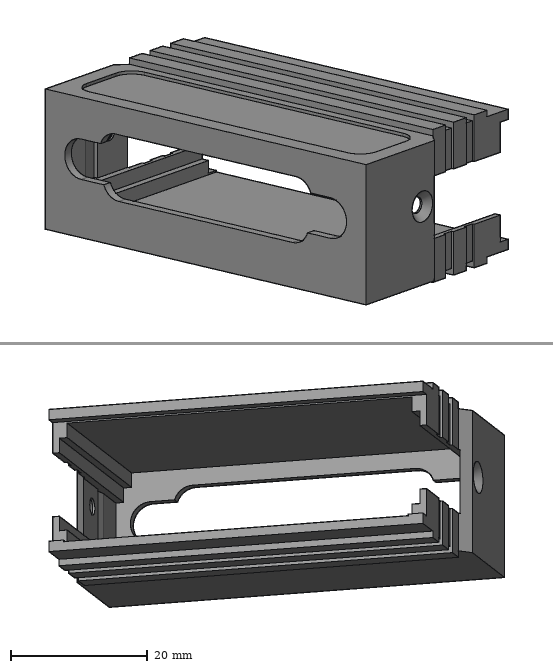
import cadquery as cq
import math

length = 60.7
depth = 34.95
height = 23.45

block_depth = 17.5
rib_height = 1.0
block_height = height - 2 * rib_height
block_chamfer = 1.65

plate_length = length - 2 * block_chamfer
rib_width = 3.0
rib_gap = 1.8
rib_count = 3
side_groove_depth = 0.35
tongue_length = 1.8
tongue_thickness = 1.6

cavity_center_z = -0.25
front_wall = 1.5
cavity_width = 57.8
guide_gap = 9.6
step_rise = 2.2
step_width = 1.2
guide_steps = 2

catch_start = 7.5
catch_length = 2.8
catch_depth = 0.6

opening_z = 1.3
slot_length = 53.3
slot_height = 6.2
window_height = 10.2
window_radius = 3.0
window_top_flat = 34.1
window_bottom_flat = 32.9

screw_y = 13.05
screw_diameter = 2.5
screw_head_diameter = 4.75

label_margin = 3.0
label_width = 12.8
label_radius = 3.0
label_depth = 0.5


def box(x_size, y_start, y_end, z_start, z_end):
    """Box centred on X between the given Y and Z limits; Y = 0 is the front face."""
    return (
        cq.Workplane("XY", origin=(0, 0, z_start))
        .center(0, (y_start + y_end) / 2)
        .rect(x_size, y_end - y_start)
        .extrude(z_end - z_start)
    )


def make_body():
    half_block = block_height / 2
    body = box(length, 0, block_depth, -half_block, half_block)
    body = body.edges("|Z and >Y").chamfer(block_chamfer)
    body = body.union(box(plate_length, block_depth, depth, -half_block, half_block))
    for i in range(rib_count):
        rib_start = block_depth + i * (rib_width + rib_gap)
        rib_end = rib_start + rib_width
        body = body.union(box(plate_length, rib_start, rib_end, -height / 2, height / 2))
    for i in range(rib_count - 1):
        groove_start = block_depth + rib_width + i * (rib_width + rib_gap)
        groove = box(length, groove_start, groove_start + rib_gap, -height / 2, height / 2)
        core_width = plate_length - 2 * side_groove_depth
        core = box(core_width, groove_start, groove_start + rib_gap, -height / 2, height / 2)
        body = body.cut(groove.cut(core))
    return body


def make_cavity():
    """Wide central gap with narrower steps cut deeper into the plates above and below."""
    cavity = None
    for i in range(guide_steps + 1):
        width = cavity_width - 2 * i * step_width
        half_gap = guide_gap / 2 + i * step_rise
        layer = box(width, front_wall, depth, cavity_center_z - half_gap, cavity_center_z + half_gap)
        cavity = layer if cavity is None else cavity.union(layer)
    return cavity


def make_tongue_gap():
    half_gap = block_height / 2 - tongue_thickness
    return box(length, depth - tongue_length, depth, -half_gap, half_gap)


def make_catches():
    wall_x = cavity_width / 2
    catch_end = catch_start + catch_length
    catch = (
        cq.Workplane("XY", origin=(0, 0, cavity_center_z - guide_gap / 2))
        .polyline([(wall_x, catch_start), (wall_x + catch_depth, catch_end), (wall_x, catch_end)])
        .close()
        .extrude(guide_gap)
    )
    return catch.union(catch.mirror("YZ"))


def make_front_opening():
    """Slot with round ends, joined by a window whose corner arcs meet the slot edges sharply."""
    half_slot = slot_height / 2
    half_window = window_height / 2
    arc_height = half_window - window_radius
    slot_end_x = slot_length / 2 - half_slot
    arc_span_x = math.sqrt(window_radius**2 - (half_slot - arc_height) ** 2)
    arc_mid = window_radius * math.sqrt(0.5)

    top_x = window_top_flat / 2
    bottom_x = window_bottom_flat / 2
    outline = (
        cq.Workplane("XZ", origin=(0, 0, opening_z))
        .moveTo(0, half_window)
        .lineTo(top_x, half_window)
        .threePointArc((top_x + arc_mid, arc_height + arc_mid), (top_x + arc_span_x, half_slot))
        .lineTo(slot_end_x, half_slot)
        .threePointArc((slot_length / 2, 0), (slot_end_x, -half_slot))
        .lineTo(bottom_x + arc_span_x, -half_slot)
        .threePointArc((bottom_x + arc_mid, -arc_height - arc_mid), (bottom_x, -half_window))
        .lineTo(0, -half_window)
        .mirrorY()
    )
    return outline.extrude(-front_wall)


def make_screw_holes():
    """Through hole along X with a 90 degree countersink on each side face."""
    head_radius = screw_head_diameter / 2
    hole_radius = screw_diameter / 2
    head_depth = head_radius - hole_radius
    half_length = length / 2
    return (
        cq.Workplane("XY", origin=(0, screw_y, opening_z))
        .moveTo(-half_length, 0)
        .lineTo(-half_length, head_radius)
        .lineTo(-half_length + head_depth, hole_radius)
        .lineTo(half_length - head_depth, hole_radius)
        .lineTo(half_length, head_radius)
        .lineTo(half_length, 0)
        .close()
        .revolve(360, (0, 0, 0), (1, 0, 0))
    )


def make_label_recess():
    top = block_height / 2
    recess = box(
        length - 2 * label_margin, label_margin, label_margin + label_width, top - label_depth, top
    )
    return recess.edges("|Z").fillet(label_radius)


result = (
    make_body()
    .cut(make_cavity())
    .cut(make_tongue_gap())
    .cut(make_catches())
    .cut(make_front_opening())
    .cut(make_screw_holes())
    .cut(make_label_recess())
)